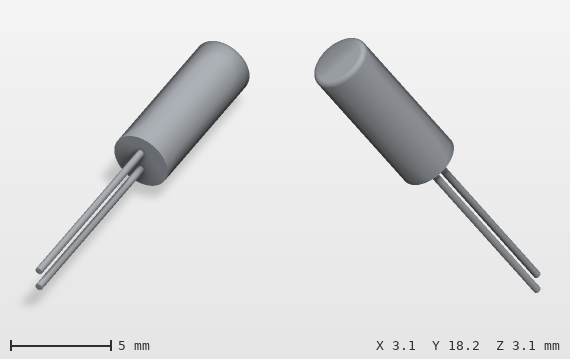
import cadquery as cq

overall_length = 18.2
can_length = 8.2
can_diameter = 3.1
can_edge_radius = 0.25

lead_length = overall_length - can_length
lead_diameter = 0.38
lead_spacing = 1.1


def cylinder_along_y(diameter, length, start_y, center_z=0):
    """Solid cylinder running from start_y toward +Y."""
    base = cq.Workplane("XZ", origin=(0, start_y, center_z))
    return base.circle(diameter / 2).extrude(-length)


def make_can():
    """Cylindrical can with its lead face at Y = 0 and a rounded closed end."""
    can = cylinder_along_y(can_diameter, can_length, 0)
    return can.faces(">Y").edges().fillet(can_edge_radius)


def make_lead(center_z):
    """Straight round lead that butts against the flat face of the can."""
    return cylinder_along_y(lead_diameter, lead_length, -lead_length, center_z)


can = make_can()
leads = [make_lead(side * lead_spacing / 2) for side in (-1, 1)]

result = cq.Compound.makeCompound([can.val(), *[lead.val() for lead in leads]])